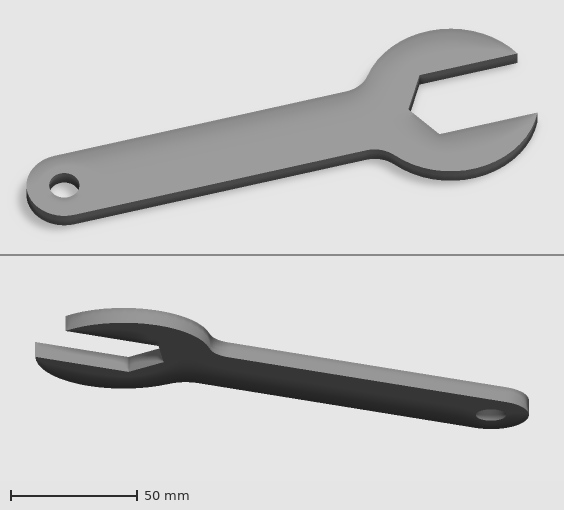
import cadquery as cq
import math

thickness = 6.35
overall_length = 205.28
head_radius = 35.0
jaw_opening = 30.0
handle_width = 30.0
neck_fillet_radius = 12.5
hanging_hole_diameter = 12.0

handle_end_radius = handle_width / 2
jaw_tip_y = math.sqrt(head_radius**2 - (jaw_opening / 2) ** 2)
handle_end_y = jaw_tip_y - overall_length + handle_end_radius
hexagon_corner_radius = jaw_opening / 2 / math.cos(math.pi / 6)


def make_body():
    """Round head and round-ended handle, blended by neck fillets."""
    head = cq.Workplane("XY").circle(head_radius).extrude(thickness)
    shank = (
        cq.Workplane("XY")
        .center(0, handle_end_y / 2)
        .rect(handle_width, abs(handle_end_y))
        .extrude(thickness)
    )
    neck_corners = cq.selectors.BoxSelector(
        (-head_radius, -head_radius, 0),
        (head_radius, -head_radius / 2, thickness),
    )
    body = head.union(shank).edges("|Z").edges(neck_corners).fillet(neck_fillet_radius)
    handle_end = (
        cq.Workplane("XY")
        .center(0, handle_end_y)
        .circle(handle_end_radius)
        .extrude(thickness)
    )
    return body.union(handle_end)


def make_jaw_cutter():
    """Open slot whose floor is the lower half of a hexagon with a corner pointing down."""
    half_opening = jaw_opening / 2
    return (
        cq.Workplane("XY")
        .moveTo(0, -hexagon_corner_radius)
        .lineTo(half_opening, -hexagon_corner_radius / 2)
        .lineTo(half_opening, head_radius)
        .lineTo(-half_opening, head_radius)
        .lineTo(-half_opening, -hexagon_corner_radius / 2)
        .close()
        .extrude(thickness)
    )


def make_hanging_hole():
    """Through hole concentric with the rounded handle end."""
    return (
        cq.Workplane("XY")
        .center(0, handle_end_y)
        .circle(hanging_hole_diameter / 2)
        .extrude(thickness)
    )


result = make_body().cut(make_jaw_cutter()).cut(make_hanging_hole())